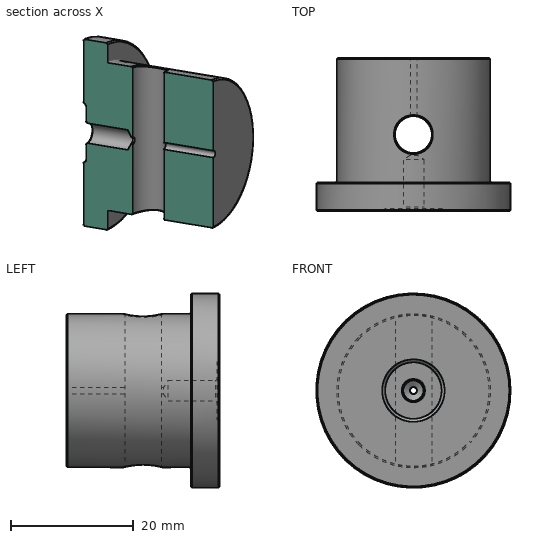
import cadquery as cq
import math

total_length = 25.0
body_diameter = 25.1
flange_diameter = 31.75
flange_thickness = 4.7
edge_chamfer = 0.25
root_fillet = 0.2

recess_mouth_diameter = 10.2
recess_floor_diameter = 9.2
recess_depth = 0.5
bore_mouth_diameter = 3.8
bore_diameter = 3.3
bore_depth = 8.0
bore_tip_angle = 118.0
pilot_diameter = 1.1

cross_hole_diameter = 6.0
cross_hole_chamfer = 0.2

front_face = -total_length / 2
rear_face = front_face + total_length
flange_rear = front_face + flange_thickness
cross_hole_y = front_face + total_length / 2


def revolve_about_y(outline):
    """Revolve a closed outline in the XY plane about the Y axis."""
    return outline.revolve(360, (0, 0, 0), (0, 1, 0))


def make_body():
    """Flange and body, with a filleted root and chamfered outer edges."""
    body_radius = body_diameter / 2
    flange_radius = flange_diameter / 2
    outline = (
        cq.Workplane("XY")
        .moveTo(0, front_face)
        .lineTo(flange_radius - edge_chamfer, front_face)
        .lineTo(flange_radius, front_face + edge_chamfer)
        .lineTo(flange_radius, flange_rear - edge_chamfer)
        .lineTo(flange_radius - edge_chamfer, flange_rear)
        .lineTo(body_radius + root_fillet, flange_rear)
        .radiusArc((body_radius, flange_rear + root_fillet), root_fillet)
        .lineTo(body_radius, rear_face - edge_chamfer)
        .lineTo(body_radius - edge_chamfer, rear_face)
        .lineTo(0, rear_face)
        .close()
    )
    return revolve_about_y(outline)


def make_bore():
    """Tapered recess, chamfered bore with a drill-point end, and through pilot."""
    bore_radius = bore_diameter / 2
    pilot_radius = pilot_diameter / 2
    bore_mouth_radius = bore_mouth_diameter / 2
    recess_floor = front_face + recess_depth
    bore_mouth_end = recess_floor + bore_mouth_radius - bore_radius
    bore_end = recess_floor + bore_depth
    tip_length = (bore_radius - pilot_radius) / math.tan(math.radians(bore_tip_angle / 2))
    profile_points = [
        (0, front_face),
        (recess_mouth_diameter / 2, front_face),
        (recess_floor_diameter / 2, recess_floor),
        (bore_mouth_radius, recess_floor),
        (bore_radius, bore_mouth_end),
        (bore_radius, bore_end),
        (pilot_radius, bore_end + tip_length),
        (pilot_radius, rear_face),
        (0, rear_face),
    ]
    return revolve_about_y(cq.Workplane("XY").polyline(profile_points).close())


def drill_cross_hole(body):
    """Through hole along Z, with its rim chamfered where it meets the round body."""
    drill = (
        cq.Workplane("XY")
        .center(0, cross_hole_y)
        .circle(cross_hole_diameter / 2)
        .extrude(body_diameter / 2, both=True)
    )
    drilled = body.cut(drill)
    reach = cross_hole_diameter / 2
    crest = body_diameter / 2
    for side in (-1, 1):
        rim = cq.selectors.BoxSelector(
            (-reach, cross_hole_y - reach, side * (crest - reach)),
            (reach, cross_hole_y + reach, side * crest),
        )
        drilled = drilled.edges(rim).chamfer(cross_hole_chamfer)
    return drilled


result = drill_cross_hole(make_body()).cut(make_bore())